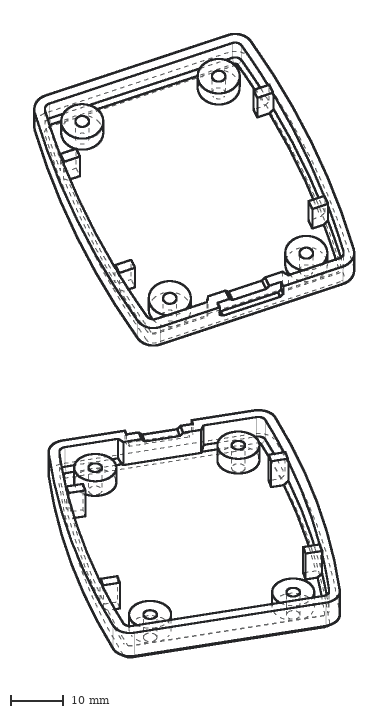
import cadquery as cq

length = 58.05
width = 48.05
rim_height = 7.8
side_bow = 2.3
corner_radius = 3.5
wall = 2.05
floor = wall
base_bevel = 2.0
cavity_bevel = 0.85

boss_x = 22.2
boss_y = 14.0
boss_radius = 4.0
boss_height = 3.65
hole_radius = 1.3

tab_x = 13.95
tab_width = 2.0
tab_inner_y = 18.15
tab_outer_y = 21.4
tab_wall_overlap = 0.3
tab_top = 8.5

pad_thickness = 3.2
pad_half_width = 8.35
pad_end_taper = 0.75

notch_half_width = 4.05
notch_depth = 0.7
opening_bevel = 0.65
recess_half_width = 6.5
recess_thickness = 1.1
recess_depth = notch_depth + recess_half_width - notch_half_width


def bowed_block(inset, bottom, top, bevel):
    """Block with the shell outline moved in by inset and a bevelled lower edge."""
    end_x = length / 2 - inset
    middle_y = width / 2 - inset
    outer_arc_radius = (length**2 / 4 + side_bow**2) / (2 * side_bow)
    arc_radius = outer_arc_radius - inset
    end_y = middle_y - arc_radius + (arc_radius**2 - end_x**2) ** 0.5
    return (
        cq.Workplane("XY", origin=(0, 0, bottom))
        .moveTo(-end_x, -end_y)
        .threePointArc((0, -middle_y), (end_x, -end_y))
        .lineTo(end_x, end_y)
        .threePointArc((0, middle_y), (-end_x, end_y))
        .close()
        .extrude(top - bottom)
        .edges("|Z")
        .fillet(corner_radius - inset)
        .faces("<Z")
        .chamfer(bevel)
    )


def connector_pad():
    """Extra wall thickness inside the +X end, with tapered ends."""
    inner_x = length / 2 - pad_thickness
    face_x = length / 2 - wall
    back_x = length / 2 - wall / 2
    flat_half_width = pad_half_width - pad_end_taper
    return (
        cq.Workplane("XY", origin=(0, 0, floor))
        .polyline(
            [
                (back_x, -pad_half_width),
                (face_x, -pad_half_width),
                (inner_x, -flat_half_width),
                (inner_x, flat_half_width),
                (face_x, pad_half_width),
                (back_x, pad_half_width),
            ]
        )
        .close()
        .extrude(rim_height - floor)
    )


def opening_cut(half_width, depth, thickness):
    """Cut down from the rim, inwards from the +X face, with bevelled lower corners."""
    floor_z = rim_height - depth
    return (
        cq.Workplane("YZ", origin=(length / 2 - thickness, 0, 0))
        .polyline(
            [
                (-half_width, rim_height),
                (-half_width, floor_z + opening_bevel),
                (-half_width + opening_bevel, floor_z),
                (half_width - opening_bevel, floor_z),
                (half_width, floor_z + opening_bevel),
                (half_width, rim_height),
            ]
        )
        .close()
        .extrude(thickness)
    )


def locating_tabs(outer_y, top):
    """Four upright posts along the long walls, from the floor to top."""
    return (
        cq.Workplane("XY", origin=(0, 0, floor))
        .rect(2 * tab_x, tab_inner_y + outer_y, forConstruction=True)
        .vertices()
        .rect(tab_width, outer_y - tab_inner_y)
        .extrude(top - floor)
    )


def boss_cylinders(radius, bottom, top):
    """One cylinder at each screw position."""
    return (
        cq.Workplane("XY", origin=(0, 0, bottom))
        .rect(2 * boss_x, 2 * boss_y, forConstruction=True)
        .vertices()
        .circle(radius)
        .extrude(top - bottom)
    )


shell = bowed_block(0, 0, rim_height, base_bevel)
shell = shell.cut(bowed_block(wall, floor, rim_height, cavity_bevel))

boss_top = floor + boss_height
result = (
    shell.union(connector_pad())
    .cut(opening_cut(notch_half_width, notch_depth, pad_thickness))
    .cut(opening_cut(recess_half_width, recess_depth, recess_thickness))
    .union(locating_tabs(tab_outer_y + tab_wall_overlap, rim_height))
    .union(locating_tabs(tab_outer_y, tab_top))
    .union(boss_cylinders(boss_radius, floor, boss_top))
    .cut(boss_cylinders(hole_radius, 0, boss_top))
)